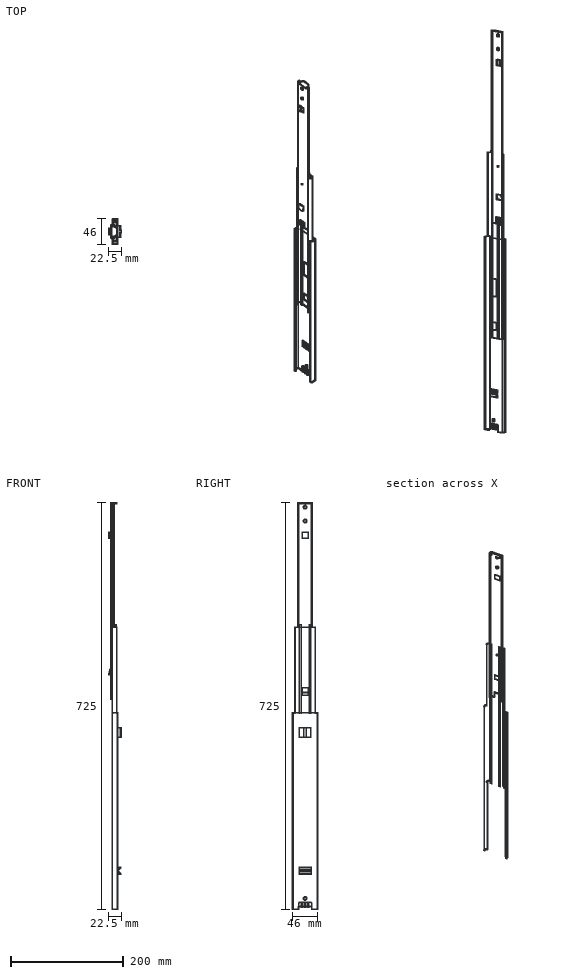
import cadquery as cq


TOTAL_LENGTH = 725.0
RAIL_LENGTH = 350.0
MIDDLE_LENGTH = 334.0
MIDDLE_BOTTOM = 169.0
INNER_BOTTOM = TOTAL_LENGTH - RAIL_LENGTH

SHEET = 1.5
OUTER_BACK, OUTER_FRONT, OUTER_HEIGHT = 5.45, -5.0, 46.0
OUTER_LIP, OUTER_BEND = 4.0, 2.0
MIDDLE_BACK, MIDDLE_FRONT, MIDDLE_HEIGHT = 3.5, -5.0, 36.0
MIDDLE_LIP, MIDDLE_BEND, MIDDLE_BACK_BEND = 5.0, 4.0, 2.0
INNER_FRONT, INNER_BACK, INNER_HEIGHT, INNER_BEND = -7.0, -1.5, 25.5, 3.0
RACE_DEPTH = 1.0
INNER_RACE = (-4.0, -3.0)
OUTER_WEB = OUTER_BACK - SHEET
MIDDLE_WEB = MIDDLE_BACK - SHEET
INNER_WEB = INNER_FRONT + SHEET

END_NOTCH_WIDTH, END_NOTCH_HEIGHT, END_NOTCH_CORNER = 23.0, 13.0, 2.0
OUTER_HOLE_Z, OUTER_HOLE_DIAMETER = 19.5, 5.0
HOOK_WIDTH = 21.0
HOOK_BACK = 10.0
HOOK_CENTRE = 69.0
HOOK_BRIDGE = 4.0
HOOK_HEIGHT = 4.0

WINDOW_WIDTH = 11.0
MIDDLE_WINDOWS = ((183.5, 197.0), (244.0, 276.0), (382.0, 395.0))

INNER_HOLES = ((717.0, 5.0), (692.5, 5.0), (479.0, 2.0))
CATCH_BOTTOM, CATCH_TOP = 662.0, 672.0
CATCH_FRONT, CATCH_STEP = -11.0, -9.0
LIP_BOTTOM, LIP_TOP = 418.0, 428.0
LIP_FRONT, LIP_TOP_FRONT = -11.0, -9.0
INNER_NOTCH_HEIGHT = 11.5
END_TAB_WIDTH = 17.5
END_TAB_BACK = 3.5
END_TAB_CORNER = 4.0

CAGE_NEAR, CAGE_FAR = 7.0, 10.0
CAGE_THICKNESS = 2.0
CAGE_OVERHANG = 4.0
LATCH_BOTTOM, LATCH_FRONT = 5.0, 1.0
TOOTH_WIDTH, TOOTH_PITCH, TOOTH_LENGTH = 2.0, 6.0, 1.5
BLOCK_STEP, BLOCK_BACK = 9.5, 11.5
BLOCK_WIDTH, HEAD_WIDTH = 20.0, 4.0
BLOCK_BOTTOM, BLOCK_TOP = 307.0, 324.0


def block(x_limits, y_limits, z_limits):
    """Box between two limits along each axis."""
    limits = (x_limits, y_limits, z_limits)
    size = [high - low for low, high in limits]
    return cq.Workplane().box(*size, centered=False).translate([low for low, _ in limits])


def centred_block(x_limits, width, z_limits):
    """Box that is symmetric about the XZ plane."""
    return block(x_limits, (-width / 2, width / 2), z_limits)


def centred_prism(points, width):
    """Prism along Y, symmetric about the XZ plane, with its (x, z) outline given."""
    return cq.Workplane("XZ").polyline(points).close().extrude(width / 2, both=True)


def round_edges(body, selector, radius):
    """Round the edges along Z on one side; a radius of zero keeps them sharp."""
    if radius <= 0:
        return body
    return body.edges("|Z").edges(selector).fillet(radius)


def lipped_channel(front, back, height, lip, front_bend, back_bend, z_limits):
    """Channel with its web at the back and two lips turned inwards at the front."""
    shell = centred_block((front, back), height, z_limits)
    shell = round_edges(round_edges(shell, "<X", front_bend), ">X", back_bend)
    cavity = centred_block((front + SHEET, back - SHEET), height - 2 * SHEET, z_limits)
    cavity = round_edges(round_edges(cavity, "<X", front_bend - SHEET), ">X", back_bend - SHEET)
    mouth = centred_block((front, (front + back) / 2), height - 2 * lip, z_limits)
    return shell.cut(cavity).cut(mouth)


def make_outer_rail():
    rail = lipped_channel(OUTER_FRONT, OUTER_BACK, OUTER_HEIGHT, OUTER_LIP, OUTER_BEND, 0, (0, RAIL_LENGTH))
    hole = cq.Workplane("YZ", origin=(OUTER_WEB, 0, OUTER_HOLE_Z))
    rail = rail.cut(hole.circle(OUTER_HOLE_DIAMETER / 2).extrude(SHEET))
    rail = rail.cut(make_end_opening(OUTER_WEB, 0))
    for direction in (-1, 1):
        root = HOOK_CENTRE + direction * HOOK_BRIDGE / 2
        tip = root + direction * HOOK_HEIGHT
        rail = rail.cut(centred_block((OUTER_WEB, OUTER_BACK), HOOK_WIDTH, sorted((root, tip))))
        rail = rail.union(make_hook(root, tip, direction))
    return rail


def make_hook(root, tip, direction):
    """Flap bent backwards out of the outer web; it slopes away from the bridge."""
    points = [
        (OUTER_WEB, root),
        (OUTER_BACK, root - direction * SHEET),
        (HOOK_BACK, tip - direction * SHEET),
        (HOOK_BACK, tip),
        (HOOK_BACK - SHEET, tip),
    ]
    return centred_prism(points, HOOK_WIDTH)


def make_end_opening(front, bottom):
    """Space of the end notch in the outer web, with its two upper corners cut off."""
    space = centred_block((front, OUTER_BACK), END_NOTCH_WIDTH, (bottom, END_NOTCH_HEIGHT))
    return space.edges("|X and >Z").chamfer(END_NOTCH_CORNER)


def make_middle_rail():
    span = (MIDDLE_BOTTOM, MIDDLE_BOTTOM + MIDDLE_LENGTH)
    rail = lipped_channel(
        MIDDLE_FRONT, MIDDLE_BACK, MIDDLE_HEIGHT, MIDDLE_LIP, MIDDLE_BEND, MIDDLE_BACK_BEND, span
    )
    for window in MIDDLE_WINDOWS:
        rail = rail.cut(centred_block((MIDDLE_WEB, MIDDLE_BACK), WINDOW_WIDTH, window))
    return rail


def make_inner_rail():
    span = (INNER_BOTTOM, TOTAL_LENGTH)
    rail = round_edges(centred_block((INNER_FRONT, INNER_BACK), INNER_HEIGHT, span), "<X", INNER_BEND)
    cavity = centred_block((INNER_WEB, INNER_BACK), INNER_HEIGHT - 2 * SHEET, span)
    rail = rail.cut(round_edges(cavity, "<X", INNER_BEND - SHEET))
    rail = rail.cut(make_race_space(span))
    for height, diameter in INNER_HOLES:
        hole = cq.Workplane("YZ", origin=(INNER_FRONT, 0, height)).circle(diameter / 2)
        rail = rail.cut(hole.extrude(SHEET))
    notch = (INNER_BOTTOM, INNER_BOTTOM + INNER_NOTCH_HEIGHT)
    rail = rail.cut(centred_block((INNER_FRONT, INNER_WEB), WINDOW_WIDTH, notch))
    return rail.union(make_catch()).union(make_lip()).union(make_end_tab())


def make_race_space(z_limits):
    """Space of the two ball races in the inner flanges."""
    space = centred_block(INNER_RACE, INNER_HEIGHT, z_limits)
    return space.cut(centred_block(INNER_RACE, INNER_HEIGHT - 2 * RACE_DEPTH, z_limits))


def make_catch():
    """Pad on the front of the inner web, higher on its +Y half."""
    limits = (CATCH_BOTTOM, CATCH_TOP)
    pad = centred_block((CATCH_STEP, INNER_WEB), WINDOW_WIDTH, limits)
    return pad.union(block((CATCH_FRONT, INNER_WEB), (0, WINDOW_WIDTH / 2), limits))


def make_lip():
    """Wedge on the front of the inner web, thickest at its bottom."""
    points = [
        (INNER_WEB, LIP_BOTTOM),
        (LIP_FRONT, LIP_BOTTOM),
        (LIP_TOP_FRONT, LIP_TOP),
        (INNER_WEB, LIP_TOP),
    ]
    return centred_prism(points, WINDOW_WIDTH)


def make_end_tab():
    """Tab with rounded corners, bent backwards at the top of the inner rail."""
    limits = (TOTAL_LENGTH - SHEET, TOTAL_LENGTH)
    tab = centred_block((INNER_WEB, END_TAB_BACK), END_TAB_WIDTH, limits)
    return round_edges(tab, ">X", END_TAB_CORNER)


def make_cage(side):
    """Ball cage strip lying on the middle web, at +Y or -Y."""
    depth = (MIDDLE_WEB - CAGE_THICKNESS, MIDDLE_WEB)
    height = sorted((side * CAGE_NEAR, side * CAGE_FAR))
    return block(depth, height, (MIDDLE_BOTTOM, MIDDLE_BOTTOM + MIDDLE_LENGTH + CAGE_OVERHANG))


def make_latch():
    """Toothed latch that fills the top of the end notch of the outer rail."""
    latch = make_end_opening(OUTER_WEB, LATCH_BOTTOM)
    teeth_limits = (LATCH_BOTTOM - TOOTH_LENGTH, END_NOTCH_HEIGHT - END_NOTCH_CORNER)
    for side in (-1, 0, 1):
        tooth = centred_block((LATCH_FRONT, OUTER_BACK), TOOTH_WIDTH, teeth_limits)
        latch = latch.union(tooth.translate((0, side * TOOTH_PITCH, 0)))
    return latch


def make_mounting_block():
    limits = (BLOCK_BOTTOM, BLOCK_TOP)
    base = centred_block((OUTER_BACK, BLOCK_STEP), BLOCK_WIDTH, limits)
    return base.union(centred_block((BLOCK_STEP, BLOCK_BACK), HEAD_WIDTH, limits))


outer_rail = make_outer_rail()
middle_rail = make_middle_rail()
inner_rail = make_inner_rail()
cages = [make_cage(side) for side in (-1, 1)]
latch = make_latch()
mounting_block = make_mounting_block()

result = cq.Compound.makeCompound([
    outer_rail.val(),
    middle_rail.val(),
    inner_rail.val(),
    *[cage.val() for cage in cages],
    latch.val(),
    mounting_block.val(),
])